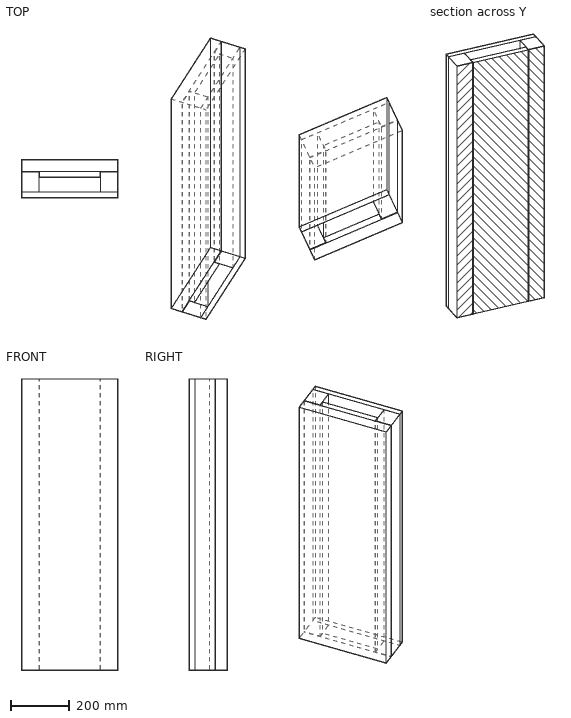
import cadquery as cq

height = 1000.0
width = 330.0

front_thickness = 20.0
stile_depth = 69.0
strip_thickness = 2.0
back_thickness = 40.0
inner_thickness = 21.0

stile_width = 60.0
inner_side_gap = 1.0


stile_front = front_thickness
strip_front = stile_front + stile_depth
back_front = strip_front + strip_thickness
inner_front = back_front - inner_thickness

stile_lefts = [0.0, width - stile_width]

inner_left = stile_width + inner_side_gap
inner_width = width - 2 * inner_left


def upright_board(left, front, board_width, thickness):
    """A full-height board standing on Z = 0, placed by its left front edge."""
    return (
        cq.Workplane("XY")
        .box(board_width, thickness, height, centered=False)
        .translate((left, front, 0))
    )


def make_front_panel():
    return upright_board(0, 0, width, front_thickness)


def make_stile(left):
    return upright_board(left, stile_front, stile_width, stile_depth)


def make_strip(left):
    """Thin strip between a stile and the back panel."""
    return upright_board(left, strip_front, stile_width, strip_thickness)


def make_inner_panel():
    """Panel between the stiles, flat against the back panel with a small gap at each side."""
    return upright_board(inner_left, inner_front, inner_width, inner_thickness)


def make_back_panel():
    return upright_board(0, back_front, width, back_thickness)


front_panel = make_front_panel()
stiles = [make_stile(left) for left in stile_lefts]
strips = [make_strip(left) for left in stile_lefts]
inner_panel = make_inner_panel()
back_panel = make_back_panel()

result = cq.Compound.makeCompound([
    front_panel.val(),
    *[stile.val() for stile in stiles],
    *[strip.val() for strip in strips],
    inner_panel.val(),
    back_panel.val(),
])